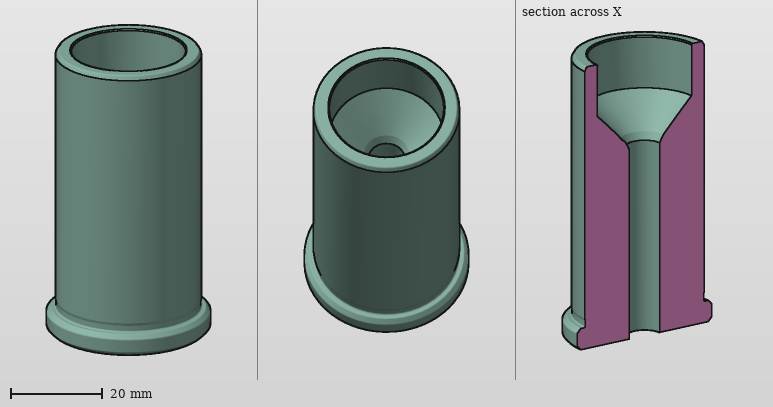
import cadquery as cq
import math

total_height = 65.0
edge_fillet = 0.4

flange_radius = 36.0 / 2
flange_height = 5.0
flange_chamfer = 1.0

shank_radius = 32.0 / 2
shank_chamfer_height = 1.0
shank_chamfer_angle = 30.0

undercut_radius = 31.7 / 2
undercut_fillet = 0.4
undercut_runout_start = 6.5
undercut_top = 7.1

bore_radius = 25.0 / 2
bore_chamfer = 0.3
bore_depth = 12.0
funnel_end_radius = 10.0 / 2
funnel_angle = 45.0
throat_radius = 8.0 / 2
lead_in_angle = 30.0


def cone_height(large_radius, small_radius, angle):
    """Height of a cone whose wall leans by angle degrees from the axis."""
    return (large_radius - small_radius) / math.tan(math.radians(angle))


def revolve_about_z(profile):
    return profile.close().revolve(360, (0, 0, 0), (0, 1, 0))


def flange():
    """Disc chamfered and then rounded on both rims."""
    return (
        cq.Workplane("XY")
        .circle(flange_radius)
        .extrude(flange_height)
        .edges()
        .chamfer(flange_chamfer)
        .edges("%CIRCLE")
        .fillet(edge_fillet)
    )


def shank():
    """Solid shank with its undercut, starting from the bottom of the flange."""
    root_radius = undercut_radius + undercut_fillet
    chamfer_width = shank_chamfer_height * math.tan(math.radians(shank_chamfer_angle))
    profile = (
        cq.Workplane("XZ")
        .lineTo(root_radius, 0)
        .lineTo(root_radius, flange_height)
        .radiusArc((undercut_radius, flange_height + undercut_fillet), undercut_fillet)
        .lineTo(undercut_radius, undercut_runout_start)
        .lineTo(shank_radius, undercut_top)
        .lineTo(shank_radius, total_height - shank_chamfer_height)
        .lineTo(shank_radius - chamfer_width, total_height)
        .lineTo(0, total_height)
    )
    return revolve_about_z(profile).faces(">Z").edges().fillet(edge_fillet)


def bore():
    """Cutter for the through bore, widening in steps towards the top."""
    funnel_top = total_height - bore_depth
    funnel_bottom = funnel_top - cone_height(bore_radius, funnel_end_radius, funnel_angle)
    throat_top = funnel_bottom - cone_height(funnel_end_radius, throat_radius, lead_in_angle)
    profile = (
        cq.Workplane("XZ")
        .lineTo(throat_radius, 0)
        .lineTo(throat_radius, throat_top)
        .lineTo(funnel_end_radius, funnel_bottom)
        .lineTo(bore_radius, funnel_top)
        .lineTo(bore_radius, total_height - bore_chamfer)
        .lineTo(bore_radius + bore_chamfer, total_height)
        .lineTo(0, total_height)
    )
    return revolve_about_z(profile)


result = flange().union(shank()).cut(bore())